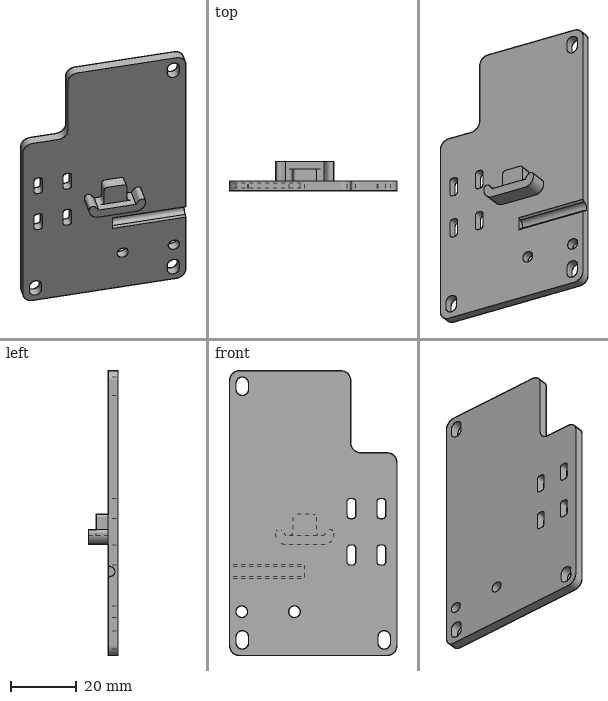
import cadquery as cq
import math

PLATE_WIDTH = 50.9
PLATE_HEIGHT = 86.5
PLATE_THICKNESS = 3.0
PLATE_CORNER_RADIUS = 3.0
STEP_X = 36.85
STEP_Z = 61.6

CORNER_SLOT_WIDTH = 3.7
CORNER_SLOT_LENGTH = 5.5
CORNER_SLOT_INSET_X = 3.9
CORNER_SLOT_INSET_Z = 4.8

HOLE_DIAMETER = 3.5
HOLE_Z = 13.3
HOLE_XS = (3.7, 19.7)

STRAP_SLOT_WIDTH = 2.6
STRAP_SLOT_LENGTH = 6.05
STRAP_SLOT_CORNER_RADIUS = 0.95
STRAP_SLOT_XS = (37.0, 46.1)
STRAP_SLOT_ZS = (30.5, 44.6)

BOSS_CENTER_X = 22.8
EDGE_RADIUS = 1.0
CRADLE_HALF_WIDTH = 8.8
CRADLE_BOTTOM_Z = 33.7
CRADLE_HEIGHT = 4.5
CRADLE_FLOOR_THICKNESS = 2.8
CRADLE_BOTTOM_RADIUS = 3.0
CRADLE_DEPTH = 6.0
ARM_TIP_FLAT = 0.1
FLANK_ANGLE = 51
PEDESTAL_HALF_WIDTH = 3.55
PEDESTAL_TOP_Z = 42.9
PEDESTAL_DEPTH = 3.6

GROOVE_Z = 25.5
GROOVE_RADIUS = 1.5
GROOVE_CENTER_DEPTH = 0.6
GROOVE_LENGTH = BOSS_CENTER_X

PLATE_OVERLAP = 0.4


def xz_plane(y):
    """Workplane at the given Y with local axes X and Z; extruding by a negative length goes toward +Y."""
    return cq.Workplane("XZ", origin=(0, y, 0))


def make_plate():
    outline = [
        (0, 0),
        (PLATE_WIDTH, 0),
        (PLATE_WIDTH, STEP_Z),
        (STEP_X, STEP_Z),
        (STEP_X, PLATE_HEIGHT),
        (0, PLATE_HEIGHT),
    ]
    plate = xz_plane(0).polyline(outline).close().extrude(-PLATE_THICKNESS)
    return plate.edges("|Y").fillet(PLATE_CORNER_RADIUS)


def make_corner_slots():
    right_x = PLATE_WIDTH - CORNER_SLOT_INSET_X
    top_z = PLATE_HEIGHT - CORNER_SLOT_INSET_Z
    centers = [
        (CORNER_SLOT_INSET_X, CORNER_SLOT_INSET_Z),
        (right_x, CORNER_SLOT_INSET_Z),
        (CORNER_SLOT_INSET_X, top_z),
    ]
    slots = xz_plane(0).pushPoints(centers).slot2D(CORNER_SLOT_LENGTH, CORNER_SLOT_WIDTH, 90)
    return slots.extrude(-PLATE_THICKNESS)


def make_round_holes():
    centers = [(x, HOLE_Z) for x in HOLE_XS]
    return xz_plane(0).pushPoints(centers).circle(HOLE_DIAMETER / 2).extrude(-PLATE_THICKNESS)


def make_strap_slots():
    centers = [(x, z) for x in STRAP_SLOT_XS for z in STRAP_SLOT_ZS]
    slots = xz_plane(0).pushPoints(centers).rect(STRAP_SLOT_WIDTH, STRAP_SLOT_LENGTH)
    return slots.extrude(-PLATE_THICKNESS).edges("|Y").fillet(STRAP_SLOT_CORNER_RADIUS)


def make_groove():
    mouth_half_width = GROOVE_RADIUS + GROOVE_CENTER_DEPTH
    center_y = PLATE_THICKNESS - GROOVE_CENTER_DEPTH
    profile = (
        cq.Workplane("YZ")
        .moveTo(PLATE_THICKNESS, GROOVE_Z - mouth_half_width)
        .lineTo(center_y, GROOVE_Z - GROOVE_RADIUS)
        .threePointArc((center_y - GROOVE_RADIUS, GROOVE_Z), (center_y, GROOVE_Z + GROOVE_RADIUS))
        .lineTo(PLATE_THICKNESS, GROOVE_Z + mouth_half_width)
        .close()
    )
    return profile.extrude(GROOVE_LENGTH)


def make_cradle():
    top_z = CRADLE_BOTTOM_Z + CRADLE_HEIGHT
    floor_z = CRADLE_BOTTOM_Z + CRADLE_FLOOR_THICKNESS
    outer_tip_offset = CRADLE_HALF_WIDTH - EDGE_RADIUS
    inner_tip_offset = outer_tip_offset - ARM_TIP_FLAT
    tip_z = top_z - EDGE_RADIUS

    angle = math.radians(FLANK_ANGLE)
    flank_top_offset = inner_tip_offset - EDGE_RADIUS * math.sin(angle)
    flank_top_z = tip_z + EDGE_RADIUS * math.cos(angle)
    floor_half_width = flank_top_offset - (flank_top_z - floor_z) / math.tan(angle)

    left = BOSS_CENTER_X - CRADLE_HALF_WIDTH
    right = BOSS_CENTER_X + CRADLE_HALF_WIDTH
    cradle = (
        xz_plane(PLATE_THICKNESS - PLATE_OVERLAP)
        .moveTo(left, CRADLE_BOTTOM_Z)
        .lineTo(right, CRADLE_BOTTOM_Z)
        .lineTo(right, tip_z)
        .radiusArc((BOSS_CENTER_X + outer_tip_offset, top_z), -EDGE_RADIUS)
        .lineTo(BOSS_CENTER_X + inner_tip_offset, top_z)
        .radiusArc((BOSS_CENTER_X + flank_top_offset, flank_top_z), -EDGE_RADIUS)
        .lineTo(BOSS_CENTER_X + floor_half_width, floor_z)
        .lineTo(BOSS_CENTER_X - floor_half_width, floor_z)
        .lineTo(BOSS_CENTER_X - flank_top_offset, flank_top_z)
        .radiusArc((BOSS_CENTER_X - inner_tip_offset, top_z), -EDGE_RADIUS)
        .lineTo(BOSS_CENTER_X - outer_tip_offset, top_z)
        .radiusArc((left, tip_z), -EDGE_RADIUS)
        .close()
        .extrude(-(CRADLE_DEPTH + PLATE_OVERLAP))
    )
    return cradle.edges("|Y and <Z").fillet(CRADLE_BOTTOM_RADIUS)


def make_pedestal():
    floor_z = CRADLE_BOTTOM_Z + CRADLE_FLOOR_THICKNESS
    left = BOSS_CENTER_X - PEDESTAL_HALF_WIDTH
    right = BOSS_CENTER_X + PEDESTAL_HALF_WIDTH

    pedestal = (
        xz_plane(PLATE_THICKNESS - PLATE_OVERLAP)
        .moveTo(left - EDGE_RADIUS, CRADLE_BOTTOM_Z)
        .lineTo(right + EDGE_RADIUS, CRADLE_BOTTOM_Z)
        .lineTo(right + EDGE_RADIUS, floor_z)
        .radiusArc((right, floor_z + EDGE_RADIUS), EDGE_RADIUS)
        .lineTo(right, PEDESTAL_TOP_Z)
        .lineTo(left, PEDESTAL_TOP_Z)
        .lineTo(left, floor_z + EDGE_RADIUS)
        .radiusArc((left - EDGE_RADIUS, floor_z), EDGE_RADIUS)
        .close()
        .extrude(-(PEDESTAL_DEPTH + PLATE_OVERLAP))
    )
    return pedestal.edges("|Y and >Z").fillet(EDGE_RADIUS)


result = (
    make_plate()
    .cut(make_corner_slots())
    .cut(make_round_holes())
    .cut(make_strap_slots())
    .cut(make_groove())
    .union(make_cradle())
    .union(make_pedestal())
)